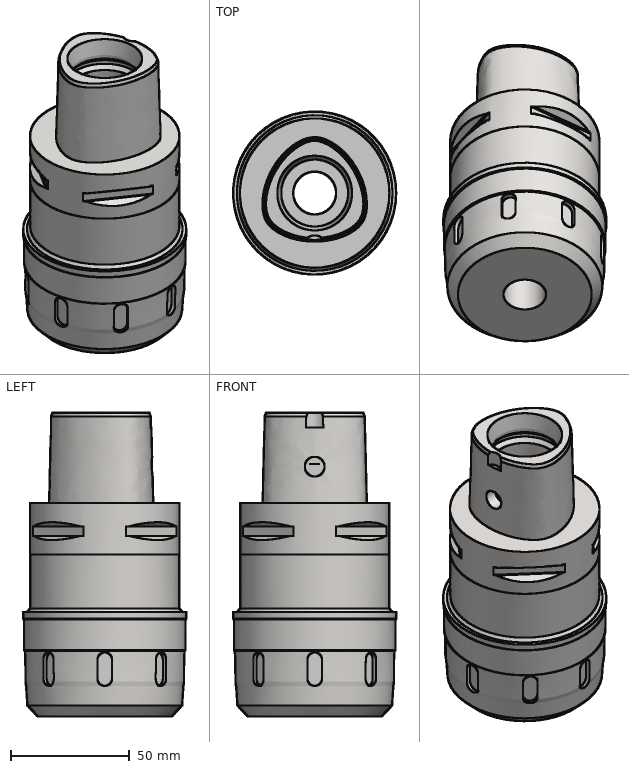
import cadquery as cq
import math

total_height = 128.0
shank_base_z = 90.0
step_z = 68.2

shank_width = 44.0
lobe_offset = 1.5
taper_ratio = 1 / 20
lead_height = 1.7
lead_inset = 0.6
section_points = 36

body_radius = 31.5
neck_relief = 0.06
neck_radius = body_radius - neck_relief
cone_radius = 32.8
collar_diameter = 68.7
collar_radius = collar_diameter / 2
sleeve_radius = 34.0
nut_top_radius = 33.7
nut_low_radius = 33.5
nose_top_radius = 33.2
nose_low_radius = 32.6
nose_end_radius = 28.2

cone_top_z = 45.6
collar_top_z = 44.0
collar_bottom_z = 41.2
sleeve_bottom_z = 28.0
edge_bevel_height = 0.4
nut_low_z = 14.7
nose_top_z = 12.7
nose_chamfer_z = 4.7

through_radius = 9.0
mouth_radius = 15.7
bore_radius = 14.1
groove_radius = 16.0
mouth_depth = 6.9
groove_start_depth = 8.6
groove_end_depth = 14.2
bore_depth = 21.8

key_floor_z = 121.6
key_radius = 4.7
key_axis_y = -22.5
dimple_z = 105.2
dimple_diameter = 8.3
dimple_floor_y = -14.3

notch_count = 4
notch_start_angle = 45
notch_z = 78.1
notch_flat_distance = 27.6
notch_flare_distance = 28.3
notch_flat_height = 4.0
notch_mouth_height = 7.5

slot_count = 8
slot_start_angle = 0
slot_width = 6.1
slot_length = 14.1
slot_z = 20.0
slot_floor_distance = 31.5


def shank_section(width, z):
    """Closed constant-width curve with three lobes, one pointing along +Y."""
    points = []
    for index in range(section_points):
        angle = 2 * math.pi * index / section_points
        support = width / 2 - lobe_offset * math.sin(3 * angle)
        slope = -3 * lobe_offset * math.cos(3 * angle)
        x = support * math.cos(angle) - slope * math.sin(angle)
        y = support * math.sin(angle) + slope * math.cos(angle)
        points.append(cq.Vector(x, y, z))
    return cq.Wire.assembleEdges([cq.Edge.makeSpline(points, periodic=True)])


def make_shank():
    lead_z = total_height - lead_height
    lead_width = shank_width - taper_ratio * (lead_z - shank_base_z)
    base = shank_section(shank_width, shank_base_z)
    shoulder = shank_section(lead_width, lead_z)
    tip = shank_section(lead_width - 2 * lead_inset, total_height)
    taper = cq.Solid.makeLoft([base, shoulder])
    lead = cq.Solid.makeLoft([shoulder, tip])
    return cq.Workplane(taper).union(cq.Workplane(lead))


def make_body():
    profile = [
        (0, 0),
        (nose_end_radius, 0),
        (nose_low_radius, nose_chamfer_z),
        (nose_top_radius, nose_top_z),
        (nut_low_radius, nut_low_z),
        (nut_top_radius, sleeve_bottom_z - edge_bevel_height),
        (sleeve_radius, sleeve_bottom_z),
        (sleeve_radius, collar_bottom_z - edge_bevel_height),
        (collar_radius, collar_bottom_z),
        (collar_radius, collar_top_z),
        (cone_radius, collar_top_z),
        (neck_radius, cone_top_z),
        (neck_radius, step_z),
        (body_radius, step_z),
        (body_radius, shank_base_z),
        (0, shank_base_z),
    ]
    return cq.Workplane("XZ").polyline(profile).close().revolve(360, (0, 0), (0, 1))


def make_bore():
    """Flared mouth, a groove with 45 degree flanks, then a stepped bore down to the through hole."""
    flank = groove_radius - bore_radius
    profile = [
        (0, 0),
        (through_radius, 0),
        (through_radius, total_height - bore_depth),
        (bore_radius, total_height - bore_depth),
        (bore_radius, total_height - groove_end_depth),
        (groove_radius, total_height - groove_end_depth + flank),
        (groove_radius, total_height - groove_start_depth - flank),
        (bore_radius, total_height - groove_start_depth),
        (bore_radius, total_height - mouth_depth),
        (mouth_radius, total_height),
        (0, total_height),
    ]
    return cq.Workplane("XZ").polyline(profile).close().revolve(360, (0, 0), (0, 1))


def make_key_slot():
    slot = cq.Workplane("XY", origin=(0, key_axis_y, key_floor_z))
    return slot.circle(key_radius).extrude(total_height - key_floor_z)


def make_dimple():
    hole = cq.Workplane("XZ", origin=(0, dimple_floor_y, dimple_z))
    return hole.circle(dimple_diameter / 2).extrude(shank_width / 2)


def make_notch():
    """Flat-bottomed notch with flared upper and lower faces, cut from the +X side."""
    profile = [
        (notch_flat_distance, notch_z - notch_flat_height / 2),
        (notch_flare_distance, notch_z - notch_flat_height / 2),
        (body_radius, notch_z - notch_mouth_height / 2),
        (body_radius, notch_z + notch_mouth_height / 2),
        (notch_flare_distance, notch_z + notch_flat_height / 2),
        (notch_flat_distance, notch_z + notch_flat_height / 2),
    ]
    return cq.Workplane("XZ").polyline(profile).close().extrude(body_radius, both=True)


def make_wrench_slot():
    """Round-ended slot standing along Z, cut from the +X side."""
    slot = cq.Workplane("YZ", origin=(slot_floor_distance, 0, slot_z))
    return slot.slot2D(slot_length, slot_width, 90).extrude(collar_radius - slot_floor_distance)


def cut_around(part, cutter, count, first_angle):
    for index in range(count):
        angle = first_angle + 360 * index / count
        part = part.cut(cutter.rotate((0, 0, 0), (0, 0, 1), angle))
    return part


result = make_body().union(make_shank())
result = result.cut(make_bore()).cut(make_key_slot()).cut(make_dimple())
result = cut_around(result, make_notch(), notch_count, notch_start_angle)
result = cut_around(result, make_wrench_slot(), slot_count, slot_start_angle)